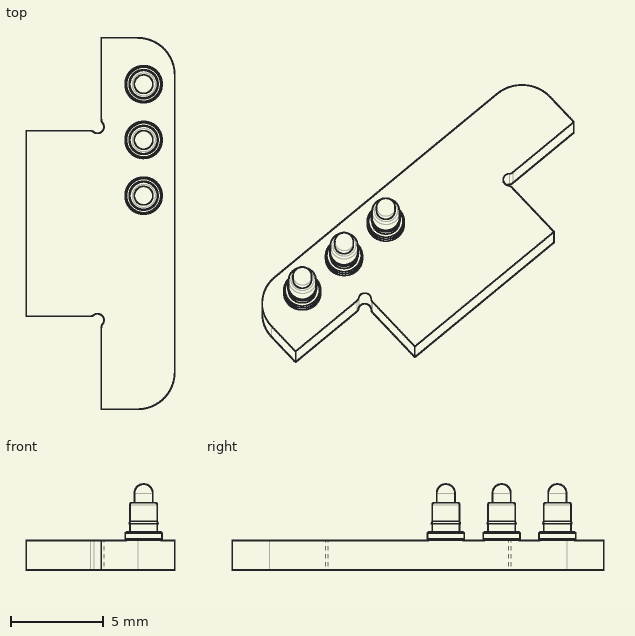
import cadquery as cq
import math

plate_width = 8.0
plate_length = 20.0
plate_thickness = 1.6
tab_length = 10.0
wing_edge_x = 4.05
wing_corner_radius = 2.0

relief_radius = 0.35
relief_offset = 0.2
relief_blend_radius = 0.28

pin_x = 6.32
pin_pitch = 3.0
first_pin_y = 1.5
pin_count = 3
pin_height = 3.05
flange_radius = 1.0
flange_height = 0.45
flange_chamfer = 0.08
barrel_radius = 0.75
barrel_top = 2.05
barrel_round = 0.12
barb_radius = 0.78
barb_bottom = 0.9
barb_top = 1.02
plunger_radius = 0.5


def make_relief_cutter(side):
    """Cutter for one inner corner: a round relief blended into both edges; side is +1 or -1 along Y."""
    center_distance = relief_radius + relief_blend_radius
    blend_run = math.sqrt(center_distance**2 - (relief_offset + relief_blend_radius) ** 2)
    blend_start = relief_offset + blend_run
    contact_ratio = relief_radius / center_distance
    contact_along = relief_offset + blend_run * contact_ratio
    contact_depth = relief_offset - (relief_offset + relief_blend_radius) * contact_ratio
    half_angle = math.atan2(blend_run, relief_offset + relief_blend_radius) / 2
    middle_along = blend_start - relief_blend_radius * math.sin(half_angle)
    middle_depth = relief_blend_radius * (math.cos(half_angle) - 1)
    deepest = relief_offset - relief_radius / math.sqrt(2)

    def place(a, b):
        return (wing_edge_x - a, side * (tab_length / 2 + b))

    return (
        cq.Workplane("XY")
        .moveTo(*place(blend_start, blend_start))
        .lineTo(*place(blend_start, 0))
        .threePointArc(place(middle_along, middle_depth), place(contact_along, contact_depth))
        .threePointArc(place(deepest, deepest), place(contact_depth, contact_along))
        .threePointArc(place(middle_depth, middle_along), place(0, blend_start))
        .close()
        .extrude(plate_thickness)
    )


def make_plate():
    wing = (
        cq.Workplane("XY")
        .box(plate_width - wing_edge_x, plate_length, plate_thickness, centered=(False, True, False))
        .translate((wing_edge_x, 0, 0))
        .edges("|Z and >X")
        .fillet(wing_corner_radius)
    )
    tab = cq.Workplane("XY").box(
        wing_edge_x, tab_length, plate_thickness, centered=(False, True, False)
    )
    plate = wing.union(tab)
    for side in (1, -1):
        plate = plate.cut(make_relief_cutter(side))
    return plate


def make_pin(y):
    """Turned pin standing on the plate: chamfered flange, barbed barrel with a rounded top and domed plunger."""
    dome_base = pin_height - plunger_radius
    round_inset = barrel_round * (1 - 1 / math.sqrt(2))
    dome_middle = plunger_radius / math.sqrt(2)
    return (
        cq.Workplane("XZ")
        .moveTo(0, 0)
        .lineTo(flange_radius - flange_chamfer, 0)
        .lineTo(flange_radius, flange_chamfer)
        .lineTo(flange_radius, flange_height - flange_chamfer)
        .lineTo(flange_radius - flange_chamfer, flange_height)
        .lineTo(barrel_radius, flange_height)
        .lineTo(barrel_radius, barb_bottom)
        .lineTo(barb_radius, barb_bottom)
        .lineTo(barrel_radius, barb_top)
        .lineTo(barrel_radius, barrel_top - barrel_round)
        .threePointArc(
            (barrel_radius - round_inset, barrel_top - round_inset),
            (barrel_radius - barrel_round, barrel_top),
        )
        .lineTo(plunger_radius, barrel_top)
        .lineTo(plunger_radius, dome_base)
        .threePointArc((dome_middle, dome_base + dome_middle), (0, pin_height))
        .close()
        .revolve(360, (0, 0), (0, 1))
        .translate((pin_x, y, plate_thickness))
    )


plate = make_plate()
pins = [make_pin(first_pin_y + index * pin_pitch) for index in range(pin_count)]

result = cq.Compound.makeCompound([plate.val(), *[pin.val() for pin in pins]])